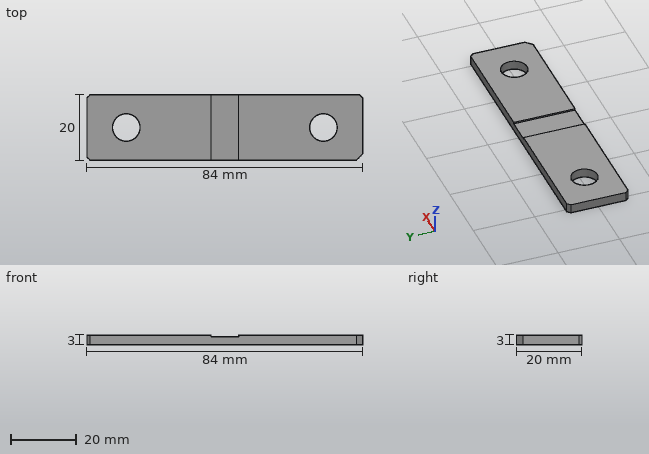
import cadquery as cq

length = 84.0
width = 20.0
thickness = 3.0

small_chamfer = 1.0
large_chamfer = 2.0

hole_diameter = 8.3
hole_spacing = 60.0

groove_width = 8.4
groove_depth = 0.5
groove_center_x = 0.0

plate = cq.Workplane("XY").box(length, width, thickness, centered=(True, True, False))
plate = plate.edges("|Z and (<X or >Y)").chamfer(small_chamfer)
plate = plate.edges(cq.selectors.NearestToPointSelector((length / 2, -width / 2, thickness / 2)))
plate = plate.chamfer(large_chamfer)

holes = (
    cq.Workplane("XY")
    .rarray(hole_spacing, 0.8, 2, 1)
    .circle(hole_diameter / 2)
    .extrude(thickness)
)

groove = (
    cq.Workplane("XY", origin=(groove_center_x, 0, thickness - groove_depth))
    .rect(groove_width, width)
    .extrude(groove_depth)
)

result = plate.cut(holes).cut(groove)